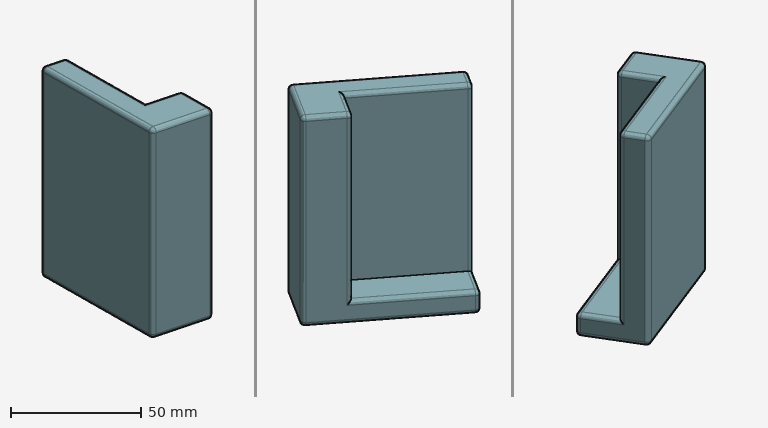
import cadquery as cq

width = 70.0
depth = 30.0
height = 90.0

front_wall = 12.5
side_wall = 20.0
floor_thickness = 10.0

edge_radius = 2.0

inner_corner = cq.Vector(width - side_wall, front_wall, floor_thickness)


def is_outward(edge):
    """True unless the edge is one of the three sharp ones ending at the inner corner."""
    tolerance = 0.001
    return edge.distance(cq.Vertex.makeVertex(*inner_corner.toTuple())) > tolerance


block = cq.Workplane("XY").box(width, depth, height, centered=False)

pocket = (
    cq.Workplane("XY")
    .box(width, depth, height, centered=False)
    .translate((-side_wall, front_wall, floor_thickness))
)

bracket = block.cut(pocket)

result = bracket.edges().filter(is_outward).fillet(edge_radius)